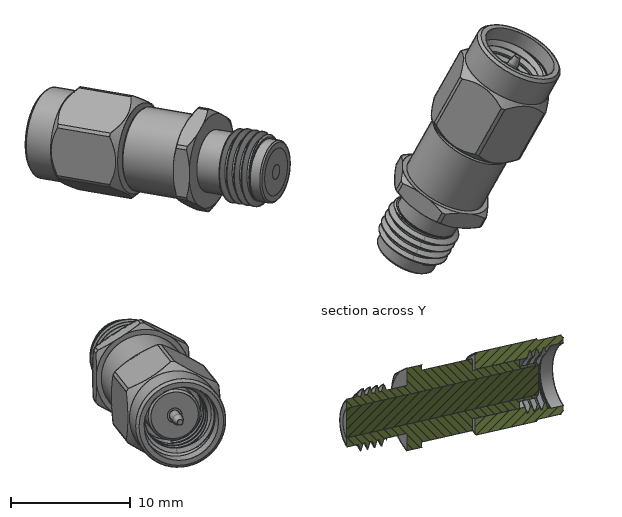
import cadquery as cq
import math


TOTAL_LENGTH = 21.85
NUT_HEX_START = 2.53
NUT_END = 8.89
SPIGOT_FACE = 2.5
SHOULDER = 4.37
BARREL_START = 9.1
BODY_HEX_START = 14.22
BODY_HEX_END = 15.75
THREAD_START = 17.75
THREAD_END = 20.81
PIN_TIP = 0.45

HEX_SIDES = 6
ACROSS_FLATS = 7.95
HEX_CORNER_RADIUS = 4.5
NUT_HEX_CHAMFER_ANGLE = 42.0
BODY_HEX_END_RADIUS = 4.02
BODY_HEX_CHAMFER_ANGLE = 60.0

SLEEVE_RADIUS = 3.87
SLEEVE_CHAMFER = 0.25
MOUTH_RADIUS = 3.19
MOUTH_DEPTH = 1.25

NECK_RADIUS = 2.66
NECK_END_CHAMFER = 0.13
BARREL_RADIUS = 3.58
BARREL_CHAMFER = 0.13
SPIGOT_RADIUS = 2.23

CORE_RADIUS = 2.03
PIN_SHANK_RADIUS = 0.63
PIN_NOSE_RADIUS = 0.45
PIN_TIP_RADIUS = 0.25
PIN_TAPER_LENGTH = 0.76
SPIGOT_CHAMFER = SPIGOT_RADIUS - CORE_RADIUS

PITCH = 0.7
THREAD_DEPTH = 0.5
THREAD_ROOT_WIDTH = 0.6
THREAD_CREST_WIDTH = 0.07
THREAD_OVERLAP = 0.09
THREAD_END_RADIUS = 2.82
OUTER_THREAD_FIRST_CREST = 16.93
OUTER_THREAD_TURNS = 7
INNER_THREAD_FIRST_GROOVE = 0.85
INNER_THREAD_TURNS = 4


def revolved(profile):
    """Solid of revolution about X from (x, radius) points."""
    return cq.Workplane("XY").polyline(profile).close().revolve(360, (0, 0, 0), (1, 0, 0))


def hexagon(start, end, end_radius, chamfer_angle):
    """Hexagonal prism with flats on +-Y, rounded corners and conical chamfers at both ends."""
    chamfer = (HEX_CORNER_RADIUS - end_radius) / math.tan(math.radians(chamfer_angle))
    corner_diameter = ACROSS_FLATS / math.cos(math.pi / HEX_SIDES)
    prism = (
        cq.Workplane("YZ", origin=(start, 0, 0))
        .transformed(rotate=(0, 0, 90))
        .polygon(HEX_SIDES, corner_diameter)
        .extrude(end - start)
    )
    envelope = revolved([
        (start, 0),
        (start, end_radius),
        (start + chamfer, HEX_CORNER_RADIUS),
        (end - chamfer, HEX_CORNER_RADIUS),
        (end, end_radius),
        (end, 0),
    ])
    return prism.intersect(envelope)


def thread_ridge(start, turns):
    """V-shaped right-hand helical ridge on the neck radius, starting at -Z and advancing along +X."""
    base = NECK_RADIUS - THREAD_OVERLAP
    crest = NECK_RADIUS + THREAD_DEPTH
    half_root = THREAD_ROOT_WIDTH / 2
    half_crest = THREAD_CREST_WIDTH / 2
    section = [(base, -half_root), (crest, -half_crest), (crest, half_crest), (base, half_root)]

    faces = []
    for turn in range(turns):
        helices = [
            cq.Wire.makeHelix(PITCH, PITCH, radius, center=cq.Vector(0, 0, offset + turn * PITCH))
            for radius, offset in section
        ]
        for helix, next_helix in zip(helices, helices[1:] + helices[:1]):
            faces.append(cq.Face.makeRuledSurface(helix, next_helix))

    for end in (0, turns * PITCH):
        corners = [cq.Vector(radius, 0, offset + end) for radius, offset in section]
        faces.append(cq.Face.makeFromWires(cq.Wire.makePolygon(corners, close=True)))

    ridge = cq.Workplane(cq.Solid.makeSolid(cq.Shell.makeShell(faces)))
    return ridge.rotate((0, 0, 0), (0, 1, 0), 90).translate((start, 0, 0))


def make_coupling_nut():
    """Sleeve and hexagon with a threaded bore that fits the neck of the body."""
    sleeve = revolved([
        (0, 0),
        (0, SLEEVE_RADIUS - SLEEVE_CHAMFER),
        (SLEEVE_CHAMFER, SLEEVE_RADIUS),
        (NUT_HEX_START, SLEEVE_RADIUS),
        (NUT_HEX_START, 0),
    ])
    nut_hex = hexagon(NUT_HEX_START, NUT_END, SLEEVE_RADIUS, NUT_HEX_CHAMFER_ANGLE)
    bore = cq.Workplane("YZ").circle(NECK_RADIUS).extrude(NUT_END)
    groove = thread_ridge(INNER_THREAD_FIRST_GROOVE, INNER_THREAD_TURNS)
    mouth = revolved([
        (0, 0),
        (0, MOUTH_RADIUS),
        (MOUTH_DEPTH, MOUTH_RADIUS),
        (MOUTH_DEPTH + MOUTH_RADIUS, 0),
    ])
    return sleeve.union(nut_hex).cut(bore).cut(groove).cut(mouth).solids()


def make_outer_thread():
    """Helical ridge trimmed at both ends by 45-degree cones that meet beyond its crest."""
    half_length = (THREAD_END - THREAD_START) / 2
    trim = revolved([
        (THREAD_START, 0),
        (THREAD_START, THREAD_END_RADIUS),
        (THREAD_START + half_length, THREAD_END_RADIUS + half_length),
        (THREAD_END, THREAD_END_RADIUS),
        (THREAD_END, 0),
    ])
    return thread_ridge(OUTER_THREAD_FIRST_CREST, OUTER_THREAD_TURNS).intersect(trim)


def make_body():
    """Turned body with spigot, barrel, wrench hex and outer thread, bored through for the core."""
    turned = revolved([
        (SPIGOT_FACE, 0),
        (SPIGOT_FACE, CORE_RADIUS),
        (SPIGOT_FACE + SPIGOT_CHAMFER, SPIGOT_RADIUS),
        (SHOULDER, SPIGOT_RADIUS),
        (SHOULDER, NECK_RADIUS),
        (BARREL_START, NECK_RADIUS),
        (BARREL_START, BARREL_RADIUS - BARREL_CHAMFER),
        (BARREL_START + BARREL_CHAMFER, BARREL_RADIUS),
        (BODY_HEX_START, BARREL_RADIUS),
        (BODY_HEX_START, NECK_RADIUS),
        (TOTAL_LENGTH - NECK_END_CHAMFER, NECK_RADIUS),
        (TOTAL_LENGTH, NECK_RADIUS - NECK_END_CHAMFER),
        (TOTAL_LENGTH, 0),
    ])
    body_hex = hexagon(BODY_HEX_START, BODY_HEX_END, BODY_HEX_END_RADIUS, BODY_HEX_CHAMFER_ANGLE)
    core_bore = (
        cq.Workplane("YZ", origin=(SPIGOT_FACE, 0, 0))
        .circle(CORE_RADIUS)
        .extrude(TOTAL_LENGTH - SPIGOT_FACE)
    )
    return turned.union(body_hex).union(make_outer_thread()).cut(core_bore).solids()


def make_core():
    """Dielectric tube, flush with the spigot face and with the +X end of the body."""
    return (
        cq.Workplane("YZ", origin=(SPIGOT_FACE, 0, 0))
        .circle(CORE_RADIUS)
        .circle(PIN_SHANK_RADIUS)
        .extrude(TOTAL_LENGTH - SPIGOT_FACE)
    )


def make_pin():
    """Centre pin with a shank filling the core and a tapered nose in front of it."""
    return revolved([
        (PIN_TIP, 0),
        (PIN_TIP, PIN_TIP_RADIUS),
        (PIN_TIP + PIN_TAPER_LENGTH, PIN_NOSE_RADIUS),
        (SPIGOT_FACE, PIN_NOSE_RADIUS),
        (SPIGOT_FACE, PIN_SHANK_RADIUS),
        (TOTAL_LENGTH, PIN_SHANK_RADIUS),
        (TOTAL_LENGTH, 0),
    ])


coupling_nut = make_coupling_nut()
body = make_body()
core = make_core()
pin = make_pin()

result = cq.Compound.makeCompound([coupling_nut.val(), body.val(), core.val(), pin.val()])